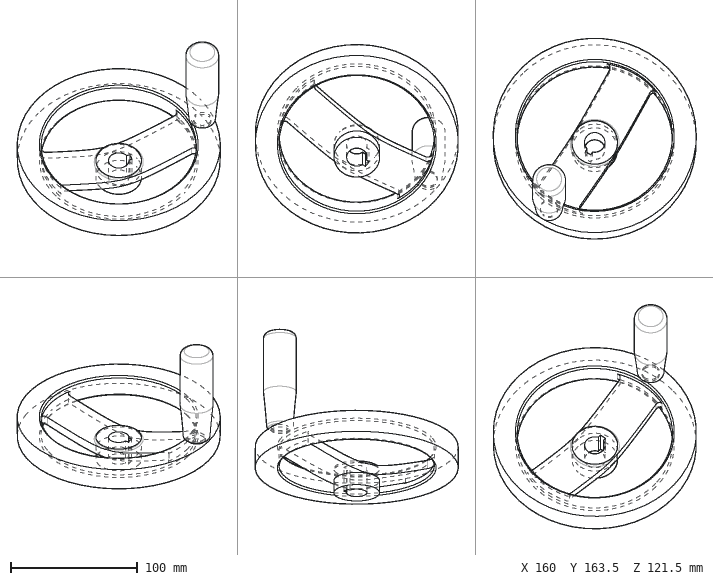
import cadquery as cq

overall_length = 163.5

rim_diameter = 160.0
rim_height = 17.8
rim_inner_radius = 61.1
rim_edge_chamfer = 1.5

hub_radius = 18.0
hub_top = -1.0
hub_bottom = -21.1
hub_root_round = 1.0
bore_radius = 8.0
keyway_width = 5.0
keyway_reach = 10.3

spoke_width = 37.0
spoke_corner_round = 3.0
web_upper_start = -3.3
web_upper_crossing = 27.0
web_lower_start = -10.8
web_lower_crossing = 46.8

grip_diameter = 26.0
grip_length = 80.3
grip_foot_radius = 10.5
grip_foot_round = 1.5
grip_taper_length = 30.0
grip_taper_hollow = 0.2
grip_crown_radius = 45.8
grip_crown_round = 4.1
neck_radius = 6.9
neck_height = 2.3

rim_radius = rim_diameter / 2
grip_radius = grip_diameter / 2
rim_middle_radius = (rim_radius + rim_inner_radius) / 2
handle_offset = overall_length - rim_radius - grip_radius


def cone_height(radius, start_height, crossing_radius):
    """Height of a cone that leaves the hub at start_height and crosses Z = 0."""
    slope = -start_height / (crossing_radius - hub_radius)
    return slope * (radius - crossing_radius)


def make_rim():
    ring = cq.Workplane("XY").circle(rim_radius).circle(rim_inner_radius).extrude(rim_height)
    inner_edges = ring.edges(cq.selectors.RadiusNthSelector(0))
    return inner_edges.chamfer(rim_edge_chamfer)


def make_dish():
    """Hub and full conical web, revolved about the wheel axis."""
    upper_end = cone_height(rim_middle_radius, web_upper_start, web_upper_crossing)
    lower_end = cone_height(rim_middle_radius, web_lower_start, web_lower_crossing)
    dish = (
        cq.Workplane("XZ")
        .moveTo(0, hub_bottom)
        .lineTo(hub_radius, hub_bottom)
        .lineTo(hub_radius, web_lower_start)
        .lineTo(rim_middle_radius, lower_end)
        .lineTo(rim_middle_radius, upper_end)
        .lineTo(hub_radius, web_upper_start)
        .lineTo(hub_radius, hub_top)
        .lineTo(0, hub_top)
        .close()
        .revolve(360, (0, 0, 0), (0, 1, 0))
    )
    root_point = (0, 0, web_upper_start)
    root_edge = dish.edges("%CIRCLE").edges(cq.selectors.NearestToPointSelector(root_point))
    return root_edge.fillet(hub_root_round)


def make_spokes():
    """Hub and the strip of the web that carries it, ending inside the rim."""
    strip = (
        cq.Workplane("XY")
        .workplane(offset=hub_bottom)
        .rect(spoke_width, 2 * rim_middle_radius)
        .extrude(rim_height - hub_bottom)
    )
    return make_dish().intersect(strip)


def round_spoke_corners(wheel):
    """Round the upright corners where the spoke sides meet the rim."""
    half_width = spoke_width / 2
    corner_y = (rim_inner_radius**2 - half_width**2) ** 0.5
    margin = 0.2
    corners = cq.selectors.BoxSelector(
        (-half_width - margin, -corner_y - margin, 0),
        (half_width + margin, corner_y + margin, rim_height),
    )
    return wheel.edges("|Z").edges(corners).fillet(spoke_corner_round)


def make_bore():
    height = hub_top - hub_bottom
    base = cq.Workplane("XY").workplane(offset=hub_bottom)
    keyway = base.center(0, keyway_reach / 2).rect(keyway_width, keyway_reach).extrude(height)
    return base.circle(bore_radius).extrude(height).union(keyway)


def crown_drop(radius):
    """Drop of the spherical grip end below its apex at a given radius."""
    return grip_crown_radius - (grip_crown_radius**2 - radius**2) ** 0.5


def make_handle():
    grip_bottom = rim_height + neck_height
    grip_top = grip_bottom + grip_length
    shoulder = grip_top - crown_drop(grip_radius)
    crown_middle_radius = grip_radius / 2
    crown_middle = (crown_middle_radius, grip_top - crown_drop(crown_middle_radius))
    taper_middle_radius = (grip_foot_radius + grip_radius) / 2 - grip_taper_hollow
    grip = (
        cq.Workplane("XZ")
        .moveTo(0, grip_bottom)
        .lineTo(grip_foot_radius, grip_bottom)
        .threePointArc(
            (taper_middle_radius, grip_bottom + grip_taper_length / 2),
            (grip_radius, grip_bottom + grip_taper_length),
        )
        .lineTo(grip_radius, shoulder)
        .threePointArc(crown_middle, (0, grip_top))
        .close()
        .revolve(360, (0, 0, 0), (0, 1, 0))
    )
    grip = grip.faces("<Z").edges().fillet(grip_foot_round)
    crown_edge = grip.edges("%CIRCLE").edges(cq.selectors.NearestToPointSelector((0, 0, shoulder)))
    grip = crown_edge.fillet(grip_crown_round)
    neck = cq.Workplane("XY").circle(neck_radius).extrude(grip_bottom + grip_foot_round)
    return grip.union(neck).translate((0, handle_offset, 0))


wheel = round_spoke_corners(make_spokes().union(make_rim()))
result = wheel.cut(make_bore()).union(make_handle())